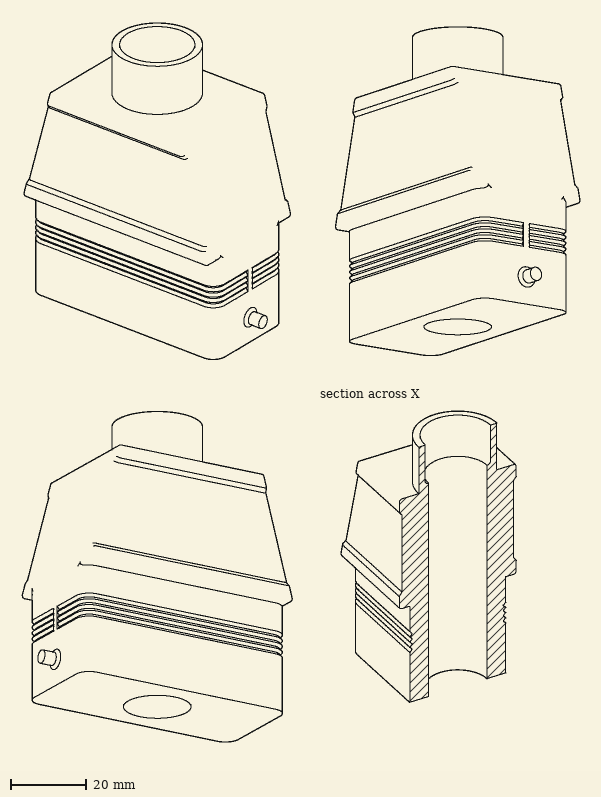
import cadquery as cq
import math

total_height = 79.0

body_length = 63.35
body_width = 29.5
body_corner = 4.0

hood_bottom = 30.0
hood_top = 64.5
hood_width = 36.0
hood_draft = 15.0
hood_round = 0.95
hood_overlap = 2.4

recess_depth = 0.9
recess_bevel = 1.1
recess_bottom = 35.3
recess_top = 59.3

groove_count = 4
groove_band_height = 6.5
groove_pitch = groove_band_height / groove_count
groove_depth = 0.7
groove_top = 22.1
groove_gap = 1.9

pin_span = 72.0
pin_diameter = 3.6
pin_height = 7.4
pin_collar_diameter = 5.5
pin_collar_length = 0.8

collar_diameter = 24.1
bore_diameter = 20.0
bore_depth = 12.25
passage_diameter = 17.9


def rounded_block(bottom, height, taper=0.0):
    """Rounded rectangle of the body section, extruded up (or down if negative)."""
    section = cq.Sketch().rect(body_length, body_width).vertices().fillet(body_corner)
    return cq.Workplane("XY").workplane(offset=bottom).placeSketch(section).extrude(height, taper=taper)


def trapezoid_block():
    """Hood envelope with sloping end faces and sharp edges."""
    half_bottom = body_length / 2
    half_top = half_bottom - (hood_top - hood_bottom) * math.tan(math.radians(hood_draft))
    return (
        cq.Workplane("XZ")
        .moveTo(-half_bottom, hood_bottom)
        .lineTo(half_bottom, hood_bottom)
        .lineTo(half_top, hood_top)
        .lineTo(-half_top, hood_top)
        .close()
        .extrude(hood_width / 2, both=True)
    )


def recess_cutter(side):
    """Bevelled slot running along X in the broad face on the given side of Y."""
    face = side * hood_width / 2
    floor = face - side * recess_depth
    return (
        cq.Workplane("YZ")
        .moveTo(face, recess_bottom - recess_bevel)
        .lineTo(floor, recess_bottom)
        .lineTo(floor, recess_top)
        .lineTo(face, recess_top + recess_bevel)
        .close()
        .extrude(body_length, both=True)
    )


def make_hood():
    hood = trapezoid_block()
    for side in (-1, 1):
        hood = hood.cut(recess_cutter(side))
    end_edges = hood.faces("<X or >X").edges()
    long_edges = hood.faces("<Z or >Z").edges("|X")
    return hood.newObject(end_edges.vals() + long_edges.vals()).fillet(hood_round)


def make_body():
    """Block up to the hood; its top end follows the slope of the hood's end faces."""
    neck = rounded_block(hood_bottom, hood_overlap).intersect(trapezoid_block())
    return rounded_block(0, hood_bottom).union(neck)


def groove_cutter(top):
    """V-shaped ring one pitch high, broken by a gap in the middle of each end face."""
    half_pitch = groove_pitch / 2
    middle = top - half_pitch
    taper = math.degrees(math.atan(groove_depth / half_pitch))
    lower_core = rounded_block(top - groove_pitch, half_pitch, taper)
    upper_core = rounded_block(top, -half_pitch, taper)
    gap = cq.Workplane("XY").box(2 * body_length, groove_gap, groove_pitch).translate((0, 0, middle))
    ring = rounded_block(top - groove_pitch, groove_pitch)
    return ring.cut(lower_core).cut(upper_core).cut(gap)


def make_pin(side):
    """Round pin with a conical foot sunk into the body wall, pointing outward along X."""
    face = body_length / 2
    pin_radius = pin_diameter / 2
    return (
        cq.Workplane("XZ")
        .moveTo(side * (face - pin_collar_length), 0)
        .lineTo(side * (face - pin_collar_length), pin_collar_diameter / 2)
        .lineTo(side * face, pin_collar_diameter / 2)
        .lineTo(side * (face + pin_collar_length), pin_radius)
        .lineTo(side * pin_span / 2, pin_radius)
        .lineTo(side * pin_span / 2, 0)
        .close()
        .revolve(360, (0, 0, 0), (1, 0, 0))
        .translate((0, 0, pin_height))
    )


def make_collar():
    bottom = hood_top - hood_overlap
    return (
        cq.Workplane("XY")
        .workplane(offset=bottom)
        .circle(collar_diameter / 2)
        .extrude(total_height - bottom)
    )


def cable_entry_cutter():
    """Bore in the collar, rounded concavely into the narrower passage through the body."""
    bore_radius = bore_diameter / 2
    passage_radius = passage_diameter / 2
    round_radius = bore_radius - passage_radius
    bore_floor = total_height - bore_depth
    arc_offset = round_radius * math.sqrt(0.5)
    arc_middle = (passage_radius + arc_offset, bore_floor + round_radius - arc_offset)
    return (
        cq.Workplane("XZ")
        .lineTo(passage_radius, 0)
        .lineTo(passage_radius, bore_floor)
        .threePointArc(arc_middle, (bore_radius, bore_floor + round_radius))
        .lineTo(bore_radius, total_height)
        .lineTo(0, total_height)
        .close()
        .revolve(360, (0, 0, 0), (0, 1, 0))
    )


result = make_body().union(make_hood())
result = result.union(make_collar())

for index in range(groove_count):
    result = result.cut(groove_cutter(groove_top - index * groove_pitch))

for side in (-1, 1):
    result = result.union(make_pin(side))

result = result.cut(cable_entry_cutter())